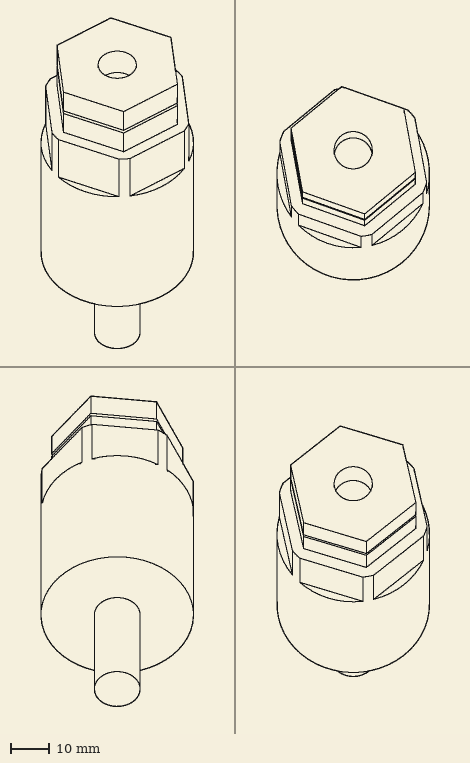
import cadquery as cq
import math

rod_length = 30.0
barrel_length = 41.0
collar_height = 14.0
hex_height = 7.0
neck_height = 1.0

rod_diameter = 12.0
barrel_diameter = 40.0
collar_across_flats = 36.0
hex_across_flats = 30.0
neck_diameter = 20.4
bore_diameter = 10.0

barrel_base = rod_length
collar_base = barrel_base + barrel_length
seat_base = collar_base + collar_height
neck_base = seat_base + hex_height
head_base = neck_base + neck_height


def cylinder(diameter, base, height):
    return cq.Workplane("XY").workplane(offset=base).circle(diameter / 2).extrude(height)


def hex_prism(across_flats, base, height):
    """Upright hexagonal prism with two flats facing +X and -X."""
    across_corners = across_flats / math.cos(math.radians(30))
    return (
        cq.Workplane("XY")
        .workplane(offset=base)
        .transformed(rotate=(0, 0, 30))
        .polygon(6, across_corners)
        .extrude(height)
    )


def make_housing():
    """Barrel with its rod below, and a wrench collar and hexagonal seat above."""
    rod = cylinder(rod_diameter, 0, rod_length)
    barrel = cylinder(barrel_diameter, barrel_base, barrel_length)
    collar = hex_prism(collar_across_flats, collar_base, collar_height).intersect(
        cylinder(barrel_diameter, collar_base, collar_height)
    )
    seat = hex_prism(hex_across_flats, seat_base, hex_height)
    return rod.union(barrel).union(collar).union(seat)


def make_gland_screw():
    """Hexagonal head on a short round neck, bored through for a cable."""
    neck = cylinder(neck_diameter, neck_base, neck_height)
    head = hex_prism(hex_across_flats, head_base, hex_height)
    bore = cylinder(bore_diameter, neck_base, neck_height + hex_height)
    return neck.union(head).cut(bore)


housing = make_housing()
gland_screw = make_gland_screw()

result = cq.Compound.makeCompound([housing.val(), gland_screw.val()])